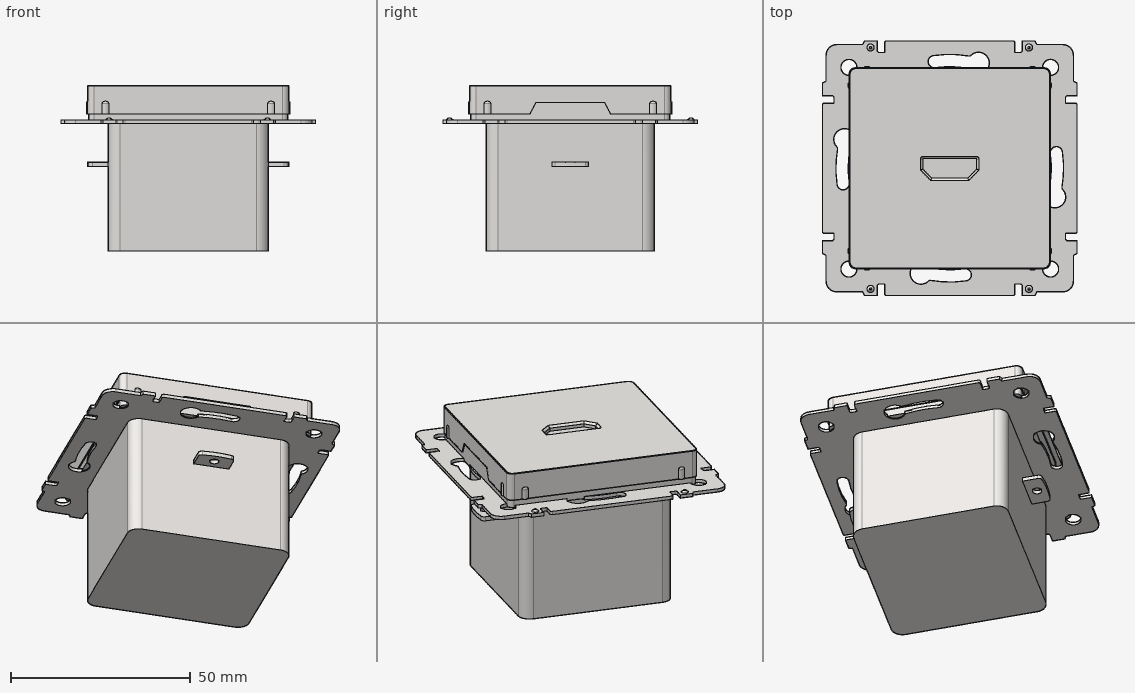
import cadquery as cq
import math

frame_size = 70.8
frame_thickness = 1.0
rim_inset = 1.0
tab_root_width = 48.4
tab_end_width = 47.45
frame_corner_radius = 3.05
notch_offset = 19.1
notch_width = 2.0
notch_depth = 3.2
notch_radius = 0.5
corner_hole_offset = 28.05
corner_hole_radius = 2.2

slot_arc_radius = 29.95
slot_width = 3.3
slot_end_x = -4.3
keyhole_x = 8.0
keyhole_y = 29.25
keyhole_radius = 3.0
keyhole_blend_radius = 0.5

screw_x = 22.0
screw_y = 33.55
screw_radius = 1.0
screw_flat_radius = 0.3
screw_height = 0.6

insert_size = 55.4
insert_corner_radius = 1.5
insert_bottom = 0.35
collar_radius = 28.25
collar_height = 0.4

cover_size = 55.9
cover_bottom = 2.6
cover_top = 10.6
cover_corner_radius = 1.8
cover_edge_inset = 0.3
cover_edge_drop = 0.15
recess_bottom_width = 22.45
recess_top_width = 19.1
recess_height = 3.2
rib_offset = 23.0
rib_width = 1.85
rib_protrusion = 0.35
rib_height = 3.75
rib_top_radius = 0.85

socket_width = 15.0
socket_top = 2.7
socket_bottom = -2.75
socket_side_bottom = -0.2
socket_floor_width = 10.05
socket_depth = 1.55
socket_lead_in = 0.65
socket_corner_radius = 0.2

box_length = 44.5
box_width = 46.8
box_depth = 35.5
box_corner_radius = 3.3

ear_reach = 28.05
ear_width = 10.2
ear_thickness = 1.2
ear_top = -10.75
ear_corner_radius = 1.05
ear_hole_x = 25.1
ear_hole_radius = 1.3


def rounded_block(length, width, bottom, top, radius):
    block = cq.Workplane("XY").workplane(offset=bottom).rect(length, width).extrude(top - bottom)
    return block.edges("|Z").fillet(radius)


def turned(body, angle):
    return body.rotate((0, 0, 0), (0, 0, 1), angle)


def rim_notch(side):
    """Notch in the +Y rim; its inner mouth corner and outer floor corner are rounded."""
    rim = frame_size / 2
    floor = rim - notch_depth
    inner = notch_offset - notch_width / 2
    outer = notch_offset + notch_width / 2
    blend = notch_radius * (1 - math.sqrt(0.5))
    outline = (
        cq.Workplane("XY")
        .moveTo(side * inner, floor)
        .lineTo(side * inner, rim - notch_radius)
        .threePointArc((side * (inner - blend), rim - blend), (side * (inner - notch_radius), rim))
        .lineTo(side * outer, rim)
        .lineTo(side * outer, floor + notch_radius)
        .threePointArc((side * (outer - blend), floor + blend), (side * (outer - notch_radius), floor))
        .close()
    )
    return outline.extrude(frame_thickness)


def keyhole_slot():
    """Slot behind the +Y side of the cover."""
    inner = slot_arc_radius - slot_width / 2
    outer = slot_arc_radius + slot_width / 2
    start = math.pi / 2 + math.asin(-slot_end_x / slot_arc_radius)
    finish = math.atan2(keyhole_y, keyhole_x)

    def on_arc(radius, angle):
        return (radius * math.cos(angle), radius * math.sin(angle))

    end_cap = start + slot_width / 2 / slot_arc_radius
    middle = (start + finish) / 2
    channel = (
        cq.Workplane("XY")
        .moveTo(*on_arc(outer, finish))
        .threePointArc(on_arc(outer, middle), on_arc(outer, start))
        .threePointArc(on_arc(slot_arc_radius, end_cap), on_arc(inner, start))
        .threePointArc(on_arc(inner, middle), on_arc(inner, finish))
        .close()
        .extrude(frame_thickness)
    )
    opening = cq.Workplane("XY").center(keyhole_x, keyhole_y).circle(keyhole_radius).extrude(frame_thickness)
    slot = channel.union(opening)
    neck = cq.selectors.NearestToPointSelector((keyhole_x - keyhole_radius, outer, frame_thickness / 2))
    return slot.edges("|Z").edges(neck).fillet(keyhole_blend_radius)


def rim_tab():
    """Trapezoid from the centre to the +Y rim."""
    core_edge = frame_size / 2 - rim_inset
    outline = (
        cq.Workplane("XY")
        .moveTo(-tab_root_width / 2, 0)
        .lineTo(-tab_root_width / 2, core_edge)
        .lineTo(-tab_end_width / 2, frame_size / 2)
        .lineTo(tab_end_width / 2, frame_size / 2)
        .lineTo(tab_root_width / 2, core_edge)
        .lineTo(tab_root_width / 2, 0)
        .close()
    )
    return outline.extrude(frame_thickness)


def make_frame():
    core_size = frame_size - 2 * rim_inset
    frame = rounded_block(core_size, core_size, 0, frame_thickness, frame_corner_radius)
    for angle in (0, 90, 180, 270):
        frame = frame.union(turned(rim_tab(), angle))
    for angle in (0, 90, 180, 270):
        for side in (-1, 1):
            frame = frame.cut(turned(rim_notch(side), angle))
        frame = frame.cut(turned(keyhole_slot(), angle))
    holes = (
        cq.Workplane("XY")
        .rect(2 * corner_hole_offset, 2 * corner_hole_offset, forConstruction=True)
        .vertices()
        .circle(corner_hole_radius)
        .extrude(frame_thickness)
    )
    return frame.cut(holes)


def make_screws():
    """Cone-shaped screw heads with a small flat on top."""
    taper = math.degrees(math.atan2(screw_radius - screw_flat_radius, screw_height))
    return (
        cq.Workplane("XY")
        .workplane(offset=frame_thickness)
        .rect(2 * screw_x, 2 * screw_y, forConstruction=True)
        .vertices()
        .circle(screw_radius)
        .extrude(screw_height, taper=taper)
    )


def make_insert():
    insert = rounded_block(insert_size, insert_size, insert_bottom, cover_bottom, insert_corner_radius)
    collar = cq.Workplane("XY").workplane(offset=insert_bottom).circle(collar_radius).extrude(collar_height)
    return insert.union(collar)


def make_rib():
    """Upright rib on the -Y face of the cover: a shallow cylinder with a rounded top."""
    curve_radius = ((rib_width / 2) ** 2 + rib_protrusion**2) / (2 * rib_protrusion)
    axis_y = -cover_size / 2 - rib_protrusion + curve_radius
    column = (
        cq.Workplane("XY")
        .workplane(offset=cover_bottom)
        .center(0, axis_y)
        .circle(curve_radius)
        .extrude(rib_height)
    )
    return column.faces(">Z").edges().fillet(rib_top_radius)


def side_recess():
    """Trapezoid recess through the skirt of the cover on both X faces."""
    trapezoid = (
        cq.Workplane("YZ")
        .moveTo(-recess_bottom_width / 2, cover_bottom)
        .lineTo(recess_bottom_width / 2, cover_bottom)
        .lineTo(recess_top_width / 2, cover_bottom + recess_height)
        .lineTo(-recess_top_width / 2, cover_bottom + recess_height)
        .close()
        .extrude(cover_size, both=True)
    )
    core = cq.Workplane("XY").box(insert_size, cover_size, 2 * cover_top)
    return trapezoid.cut(core)


def socket_opening():
    opening = (
        cq.Workplane("XY")
        .polyline([
            (-socket_width / 2, socket_top),
            (-socket_width / 2, socket_side_bottom),
            (-socket_floor_width / 2, socket_bottom),
            (socket_floor_width / 2, socket_bottom),
            (socket_width / 2, socket_side_bottom),
            (socket_width / 2, socket_top),
        ])
        .close()
        .extrude(socket_depth)
    )
    opening = opening.edges("|Z").edges(">Y").fillet(socket_corner_radius)
    return opening.translate((0, 0, cover_top - socket_depth))


def make_cover():
    cover = rounded_block(cover_size, cover_size, cover_bottom, cover_top, cover_corner_radius)
    cover = cover.faces(">Z").edges().chamfer(cover_edge_drop, cover_edge_inset)
    cover = cover.cut(side_recess())
    cover = cover.cut(socket_opening())
    margin = socket_depth / 2
    mouth = cq.selectors.BoxSelector(
        (-socket_width, -socket_width, cover_top - margin),
        (socket_width, socket_width, cover_top + margin),
    )
    cover = cover.faces(">Z").edges(mouth).chamfer(socket_lead_in)
    for angle in (0, 90, 180, 270):
        for x in (-rib_offset, rib_offset):
            cover = cover.union(turned(make_rib().translate((x, 0, 0)), angle))
    return cover


def make_ears():
    """One strip across the box, its ends following a circle around the centre."""
    base = ear_top - ear_thickness
    disc = cq.Workplane("XY").workplane(offset=base).circle(ear_reach).extrude(ear_thickness)
    strip = cq.Workplane("XY").workplane(offset=base).rect(2 * ear_reach, ear_width).extrude(ear_thickness)
    ears = disc.intersect(strip).edges("|Z").fillet(ear_corner_radius)
    holes = (
        cq.Workplane("XY")
        .workplane(offset=base)
        .pushPoints([(-ear_hole_x, 0), (ear_hole_x, 0)])
        .circle(ear_hole_radius)
        .extrude(ear_thickness)
    )
    return ears.cut(holes)


box = rounded_block(box_length, box_width, -box_depth, cover_bottom, box_corner_radius)

result = make_frame().union(make_insert()).union(make_cover()).union(box)
result = result.union(make_ears()).union(make_screws())